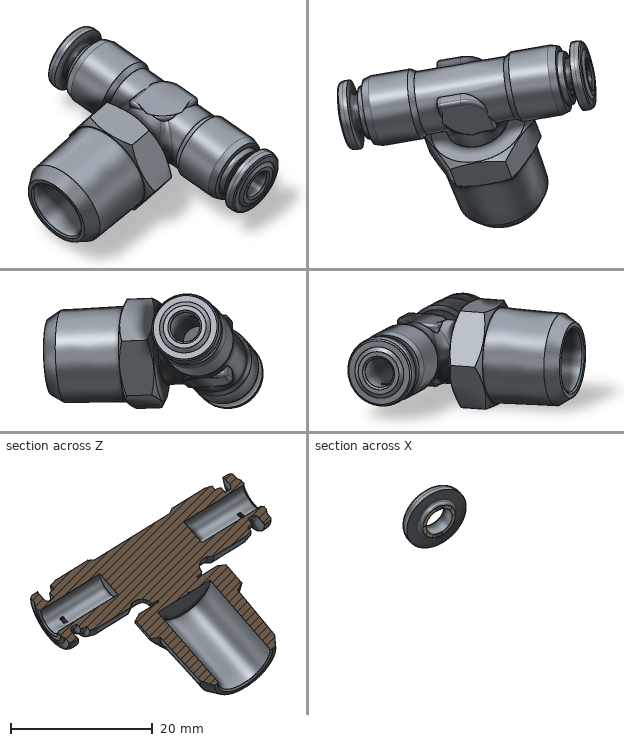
import cadquery as cq
import math

tube_radius = 4.5
body_radius = 5.0
body_inner_x = 6.5
body_cone_x = 7.38
body_lead_x = 13.05
body_end_x = 14.1
body_end_radius = 4.68
branch_end_y = 6.3
branch_chamfer = 0.3
blend_radius = 1.48

pad_half_size = 3.53
pad_edge_radius = 0.5
pad_core_radius = 2.88
pad_shoulder_radius = 3.05

collar_radius = 3.9
collar_end_x = 14.98
collar_crown_x = 14.65
collar_crown_radius = 3.85
collar_end_radius = 3.7
neck_radius = 2.77
flange_inner_x = 16.25
flange_fillet = 0.5
flange_radius = 4.95
flange_crown_x = 16.85
flange_edge_x = 17.5
flange_edge_radius = 4.8
flange_face_x = 17.68
flange_face_radius = 4.57
lip_base_radius = 3.67
lip_end_radius = 3.05
run_half_length = 18.0
tube_bore_radius = 2.12
tube_bore_chamfer = 0.3
tube_bore_end_x = body_cone_x
slot_width = 1.0
slot_length = 0.55
right_collet_turn = 18.0

swivel_radius = 3.45
hex_start_y = 6.5
hex_end_y = 11.52
hex_across_flats = 14.0
hex_turn = 1.9
hex_chamfer_radius = 6.88
hex_chamfer_angle = 30.0
stud_start_radius = 6.75
stud_taper_end_y = 20.63
stud_taper_end_radius = 6.55
stud_end_y = 22.55
stud_end_radius = 5.35
stud_bore_radius = 4.55
stud_bore_chamfer = 0.25
stud_bore_end_y = 7.92


def revolve_about_x(outline):
    return outline.close().revolve(360, (0, 0, 0), (1, 0, 0))


def revolve_about_y(points):
    """Solid of revolution from (radius, distance along -Y) points."""
    outline = [(radius, -distance) for radius, distance in points]
    return cq.Workplane("XY").polyline(outline).close().revolve(360, (0, 0, 0), (0, 1, 0))


def marking_pad():
    """Upper pad: a square with two opposite corners fully rounded, level with the tube crown."""
    size = pad_half_size
    bend = size * math.sqrt(0.5)
    block = (
        cq.Workplane("XY")
        .moveTo(0, size)
        .lineTo(size, size)
        .lineTo(size, 0)
        .threePointArc((bend, -bend), (0, -size))
        .lineTo(-size, -size)
        .lineTo(-size, 0)
        .threePointArc((-bend, bend), (0, size))
        .close()
        .extrude(tube_radius)
        .edges("|Z and (>(1,1,0) or <(1,1,0))")
        .fillet(pad_edge_radius)
        .faces(">Z")
        .edges()
        .fillet(pad_edge_radius)
    )
    flat = size - pad_edge_radius
    fade = math.sqrt(tube_radius**2 - (tube_radius - pad_edge_radius) ** 2)
    shoulder_bend = pad_shoulder_radius * math.sqrt(0.5)
    shoulder = (
        cq.Workplane("XY")
        .moveTo(0, 0)
        .lineTo(flat, fade)
        .lineTo(size, 0)
        .threePointArc((shoulder_bend, -shoulder_bend), (0, -size))
        .lineTo(-fade, -flat)
        .close()
        .extrude(tube_radius)
    )
    return block.union(shoulder)


def tee_core():
    run = cq.Workplane("YZ").circle(tube_radius).extrude(body_cone_x, both=True)
    branch = revolve_about_y([
        (0, 0),
        (tube_radius, 0),
        (tube_radius, branch_end_y - branch_chamfer),
        (tube_radius - branch_chamfer, branch_end_y),
        (0, branch_end_y),
    ])
    core = cq.Workplane("XY").circle(pad_core_radius).extrude(tube_radius, both=True)
    tubes = run.union(branch).union(core).edges("%ELLIPSE").fillet(blend_radius)
    upper_pad = marking_pad()
    return tubes.union(upper_pad).union(upper_pad.mirror("XY"))


def body_end():
    return revolve_about_x(cq.Workplane("XY").polyline([
        (0, 0),
        (0, tube_radius),
        (body_inner_x, tube_radius),
        (body_cone_x, body_radius),
        (body_lead_x, body_radius),
        (body_end_x, body_end_radius),
        (body_end_x, 0),
    ]))


def collet():
    shank_end_x = flange_inner_x - flange_fillet
    bend = flange_fillet * math.sqrt(0.5)
    outline = (
        cq.Workplane("XY")
        .moveTo(body_lead_x, 0)
        .lineTo(body_lead_x, collar_radius)
        .lineTo(body_end_x, collar_radius)
        .threePointArc((collar_crown_x, collar_crown_radius), (collar_end_x, collar_end_radius))
        .lineTo(collar_end_x, neck_radius)
        .lineTo(shank_end_x, neck_radius)
        .threePointArc(
            (shank_end_x + bend, neck_radius + flange_fillet - bend),
            (flange_inner_x, neck_radius + flange_fillet),
        )
        .lineTo(flange_inner_x, flange_radius)
        .lineTo(flange_crown_x, flange_radius)
        .tangentArcPoint((flange_edge_x, flange_edge_radius), relative=False)
        .lineTo(flange_face_x, flange_face_radius)
        .lineTo(flange_face_x, lip_base_radius)
        .lineTo(run_half_length, lip_end_radius)
        .lineTo(run_half_length, 0)
    )
    slot = cq.Workplane("XY").box(slot_length, slot_width, 2 * collar_radius)
    slot = slot.translate((collar_end_x + slot_length / 2, 0, 0))
    return revolve_about_x(outline).cut(slot)


def tube_bore():
    return revolve_about_x(cq.Workplane("XY").polyline([
        (tube_bore_end_x, 0),
        (tube_bore_end_x, tube_bore_radius),
        (run_half_length - tube_bore_chamfer, tube_bore_radius),
        (run_half_length, tube_bore_radius + tube_bore_chamfer),
        (run_half_length, 0),
    ]))


def run_arm(collet_turn):
    """One end of the run, pointing along +X."""
    turned_collet = collet().rotate((0, 0, 0), (1, 0, 0), collet_turn)
    return body_end().union(turned_collet).cut(tube_bore())


def hexagon():
    height = hex_end_y - hex_start_y
    corner_radius = hex_across_flats / math.sqrt(3)
    prism = (
        cq.Workplane("XZ", origin=(0, -hex_start_y, 0))
        .polygon(6, 2 * corner_radius)
        .extrude(height)
        .rotate((0, 0, 0), (0, 1, 0), -hex_turn)
    )
    drop = (corner_radius - hex_chamfer_radius) * math.tan(math.radians(hex_chamfer_angle))
    chamfer_envelope = revolve_about_y([
        (0, hex_start_y),
        (hex_chamfer_radius, hex_start_y),
        (corner_radius, hex_start_y + drop),
        (corner_radius, hex_end_y - drop),
        (hex_chamfer_radius, hex_end_y),
        (0, hex_end_y),
    ])
    return prism.intersect(chamfer_envelope)


def stud():
    """Swivel neck and tapered stud, joined inside the hexagon."""
    hex_middle_y = (hex_start_y + hex_end_y) / 2
    return revolve_about_y([
        (0, 0),
        (swivel_radius, 0),
        (swivel_radius, hex_middle_y),
        (stud_start_radius, hex_middle_y),
        (stud_start_radius, hex_end_y),
        (stud_taper_end_radius, stud_taper_end_y),
        (stud_end_radius, stud_end_y),
        (0, stud_end_y),
    ])


def stud_bore():
    return revolve_about_y([
        (0, stud_bore_end_y),
        (stud_bore_radius, stud_bore_end_y),
        (stud_bore_radius, stud_end_y - stud_bore_chamfer),
        (stud_bore_radius + stud_bore_chamfer, stud_end_y),
        (0, stud_end_y),
    ])


right_arm = run_arm(-right_collet_turn)
left_arm = run_arm(0).mirror("YZ")
male_end = hexagon().union(stud()).cut(stud_bore())
result = tee_core().union(right_arm).union(left_arm).union(male_end)